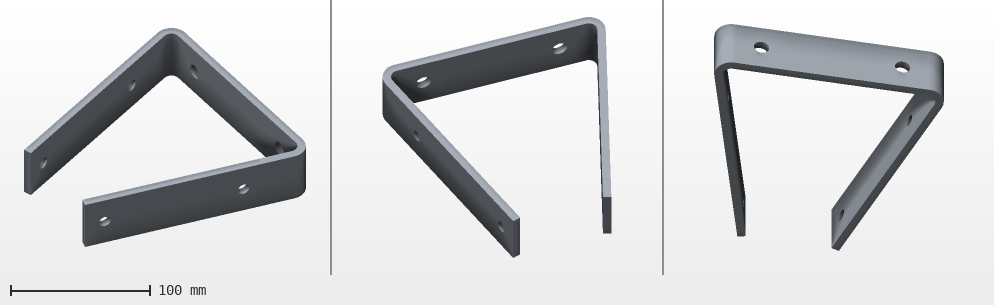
import cadquery as cq
import math

thickness = 6.0
inner_radius = 6.0
height = 40.0
overall_width = 166.8
overall_depth = 167.7
leg_lean = 16.8

leg_hole_diameter = 8.5
leg_hole_end_distance = 15.1
leg_hole_spacing = 105.1
web_hole_diameter = 11.0
web_hole_spacing = 102.8

lean = math.radians(leg_lean)
outer_radius = inner_radius + thickness
bend_x = overall_width / 2 - outer_radius
bend_y = -outer_radius

leg_length = (overall_depth + bend_y - outer_radius * math.sin(lean)) / math.cos(lean)


def bend_point(radius, angle):
    """Point on the right-hand bend, at an angle from the +X direction."""
    return (bend_x + radius * math.cos(angle), bend_y + radius * math.sin(angle))


def leg_point(radius, distance):
    """Point on the right leg, a distance along it from the end of the bend."""
    x, y = bend_point(radius, -lean)
    return (x - distance * math.sin(lean), y - distance * math.cos(lean))


def half_strap():
    """Right half of the bent strap, up to the centre plane of the web."""
    middle_angle = (math.pi / 2 - lean) / 2
    return (
        cq.Workplane("XY")
        .moveTo(0, 0)
        .lineTo(bend_x, 0)
        .threePointArc(bend_point(outer_radius, middle_angle), bend_point(outer_radius, -lean))
        .lineTo(*leg_point(outer_radius, leg_length))
        .lineTo(*leg_point(inner_radius, leg_length))
        .lineTo(*bend_point(inner_radius, -lean))
        .threePointArc(bend_point(inner_radius, middle_angle), (bend_x, -thickness))
        .lineTo(0, -thickness)
        .close()
        .extrude(height)
    )


def hole_cutter(center, direction, diameter):
    """Cylinder through the strap, centred on its mid-thickness."""
    cutter_length = 2 * thickness
    axis = cq.Vector(*direction)
    start = cq.Vector(*center, height / 2) - axis * (cutter_length / 2)
    return cq.Workplane(cq.Solid.makeCylinder(diameter / 2, cutter_length, start, axis))


right_half = half_strap()

middle_radius = inner_radius + thickness / 2
leg_normal = (math.cos(lean), -math.sin(lean), 0)
outer_hole_distance = leg_length - leg_hole_end_distance
for distance in (outer_hole_distance, outer_hole_distance - leg_hole_spacing):
    center = leg_point(middle_radius, distance)
    right_half = right_half.cut(hole_cutter(center, leg_normal, leg_hole_diameter))

web_hole_center = (web_hole_spacing / 2, -thickness / 2)
right_half = right_half.cut(hole_cutter(web_hole_center, (0, 1, 0), web_hole_diameter))

result = right_half.union(right_half.mirror("YZ")).clean()